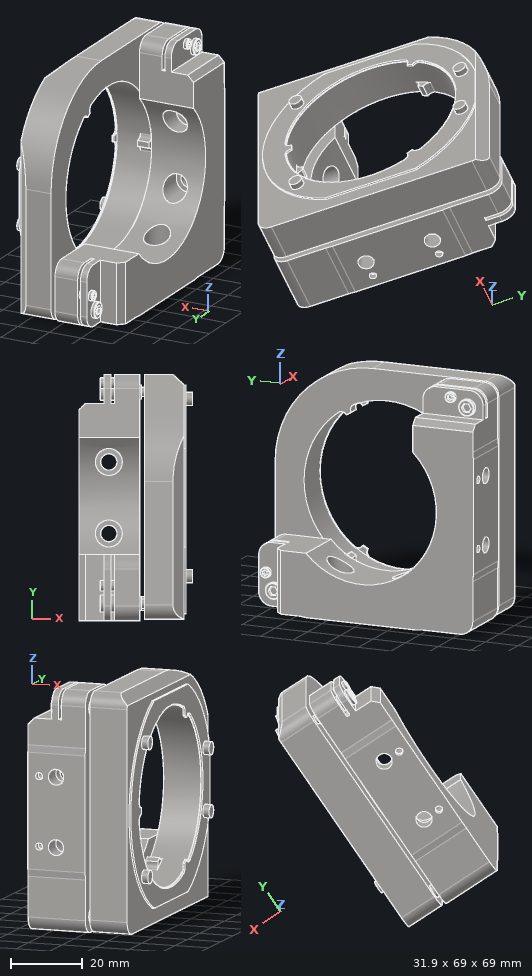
import cadquery as cq
import math


mount_size = 69.0
axis_pos = mount_size / 2
corner_radius = 4.0

base_thickness = 17.1
base_bore_diameter = 46.2
arm_inner_edge = 18.6
pad_height = 0.2
pad_half_length = 16.6
pad_ramp_length = 2.1

ear_start = 60.9
ear_front = 7.05
ear_slot_start = 9.05
ear_slot_width = 0.9
arm_chamfer = 1.85

hole_spacing = 20.0
hole_x = 8.4
hole_diameter = 4.5
counterbore_diameter = 7.5
counterbore_floor = 6.0
dowel_x = 3.4
dowel_diameter = 2.0
dowel_depth = 2.1

adjuster_inset = 4.9
adjuster_diameter = 4.75
adjuster_socket = 2.8
screw_head_chamfer = 0.2
clamp_side = 9.95
clamp_height = 66.6
clamp_screw_diameter = 3.0
clamp_socket = 1.65
adjuster_turn = 0
clamp_turn = 30
socket_sides = 6
screw_head_height = 1.1
socket_depth = 1.0
collar_diameter = 4.0
collar_length = 0.5
tip_diameter = 2.6

plate_start = 18.35
plate_end = 29.45
plate_inset = 0.45
plate_bore_diameter = 51.2
plate_round_radius = 29.95
bevel_depth_x = 3.1
bevel_depth_side = 2.9

retainer_end = 30.0
retainer_bore_diameter = 51.75
retainer_radius = 32.6
retainer_half_height = 29.5
retainer_flat = 31.6
pin_end = 31.9
pin_diameter = 3.8
pin_circle_radius = 29.05
pin_angles = (18.0, 139.0, -139.0, -18.0)

tab_angles = (60.0, 180.0, 300.0)
tab_tip_radius = 23.8
tab_half_width = 0.9
tab_foot_half_width = 3.05
tab_length = 3.6
tab_root_depth = 0.7


def block(x_range, y_range, z_range):
    """Box spanning the given ranges."""
    size = [high - low for low, high in (x_range, y_range, z_range)]
    corner = (x_range[0], y_range[0], z_range[0])
    return cq.Workplane("XY").box(*size, centered=False).translate(corner)


def rod(y, z, x_start, x_end, diameter):
    """Cylinder along X."""
    return cq.Workplane("YZ", origin=(x_start, y, z)).circle(diameter / 2).extrude(x_end - x_start)


def swap_yz(body):
    """Mirror image with Y and Z exchanged."""
    return body.mirror((0, 1, -1))


def on_both_sides(body):
    return body.union(swap_yz(body))


def make_arm():
    """Upright arm with a rounded end."""
    arm = block((0, base_thickness), (pad_height, arm_inner_edge), (pad_height, mount_size))
    return arm.edges("|X and >Z").fillet(corner_radius)


def make_ear_cut():
    """Step, chamfer and slot that leave a slotted ear at the top of the upright arm."""
    across = (0, arm_inner_edge)
    step = (
        cq.Workplane("XZ")
        .moveTo(0, ear_start - arm_chamfer)
        .lineTo(arm_chamfer, ear_start)
        .lineTo(ear_front, ear_start)
        .lineTo(ear_front, mount_size)
        .lineTo(0, mount_size)
        .close()
        .extrude(-arm_inner_edge)
    )
    slot_range = (ear_slot_start, ear_slot_start + ear_slot_width)
    return step.union(block(slot_range, across, (ear_start, mount_size)))


def make_pad():
    """Raised mounting pad with ramped ends on the -Y side."""
    ramp_end = pad_half_length + pad_ramp_length
    return (
        cq.Workplane("YZ")
        .moveTo(pad_height, axis_pos - ramp_end)
        .lineTo(0, axis_pos - pad_half_length)
        .lineTo(0, axis_pos + pad_half_length)
        .lineTo(pad_height, axis_pos + ramp_end)
        .lineTo(2 * pad_height, axis_pos + ramp_end)
        .lineTo(2 * pad_height, axis_pos - ramp_end)
        .close()
        .extrude(base_thickness)
    )


def make_pad_holes():
    """Counterbored screw holes and pointed dowel holes entering from the -Y pad."""
    holes = cq.Workplane("XY")
    for side in (-1, 1):
        z = axis_pos + side * hole_spacing / 2
        face = cq.Workplane("XZ", origin=(0, 0, z))
        through = face.center(hole_x, 0).circle(hole_diameter / 2).extrude(-axis_pos)
        counterbore = (
            cq.Workplane("XZ", origin=(hole_x, counterbore_floor, z))
            .circle(counterbore_diameter / 2)
            .extrude(-(axis_pos - counterbore_floor))
        )
        dowel_radius = dowel_diameter / 2
        dowel = (
            cq.Workplane("XY", origin=(dowel_x, 0, z))
            .lineTo(dowel_radius, 0)
            .lineTo(dowel_radius, dowel_depth)
            .lineTo(0, dowel_depth + dowel_radius)
            .close()
            .revolve(360, (0, 0, 0), (0, 1, 0))
        )
        holes = holes.union(through).union(counterbore).union(dowel)
    return holes


def make_base():
    base = on_both_sides(make_arm())
    base = base.edges("|X and <Y and <Z").fillet(corner_radius)
    base = base.union(on_both_sides(make_pad()))
    base = base.cut(rod(axis_pos, axis_pos, 0, base_thickness, base_bore_diameter))
    base = base.cut(on_both_sides(make_ear_cut()))
    return base.cut(on_both_sides(make_pad_holes()))


def make_socket_screw(y, z, x_end, diameter, socket, socket_turn):
    """Screw along X whose head, with a hex socket, stands out of the ear."""
    head = ear_front - screw_head_height
    screw = rod(y, z, head, x_end, diameter)
    screw = screw.faces("<X").chamfer(screw_head_chamfer)
    recess = cq.Workplane("YZ").polygon(socket_sides, socket).extrude(socket_depth)
    recess = recess.rotate((0, 0, 0), (1, 0, 0), socket_turn).translate((head, y, z))
    return screw.cut(recess)


def make_adjuster(y, z):
    """Adjuster with a collar and a thin tip that bears on the plate."""
    adjuster = make_socket_screw(y, z, base_thickness, adjuster_diameter, adjuster_socket, adjuster_turn)
    collar = rod(y, z, base_thickness, base_thickness + collar_length, collar_diameter)
    tip = rod(y, z, base_thickness, plate_start, tip_diameter)
    return adjuster.union(collar).union(tip)


def make_clamp_screw(y, z):
    """Screw across the ear slot that clamps the adjuster."""
    x_end = ear_slot_start + 2 * ear_slot_width
    return make_socket_screw(y, z, x_end, clamp_screw_diameter, clamp_socket, clamp_turn)


def make_ear_screws():
    near = adjuster_inset
    far = mount_size - adjuster_inset
    screws = make_adjuster(near, far).union(make_adjuster(far, near))
    screws = screws.union(make_clamp_screw(clamp_side, clamp_height))
    return screws.union(make_clamp_screw(clamp_height, clamp_side))


def make_bevel_cut():
    """Wedge removed along the rear +Z edge of the plate."""
    return (
        cq.Workplane("XZ")
        .moveTo(plate_end - bevel_depth_x, mount_size)
        .lineTo(plate_end, mount_size - bevel_depth_side)
        .lineTo(plate_end, mount_size)
        .close()
        .extrude(-mount_size)
    )


def make_plate():
    sides = (plate_inset, mount_size)
    plate = block((plate_start, plate_end), sides, sides)
    plate = plate.edges("|X and >Y and >Z").fillet(plate_round_radius)
    plate = plate.edges("|X and (<Y or <Z)").fillet(corner_radius)
    return plate.cut(on_both_sides(make_bevel_cut()))


def make_retainer():
    """Thin disc behind the plate with flats at top, bottom and +Y."""
    disc = rod(axis_pos, axis_pos, plate_end, retainer_end, 2 * retainer_radius)
    keep = block(
        (plate_end, retainer_end),
        (0, axis_pos + retainer_flat),
        (axis_pos - retainer_half_height, axis_pos + retainer_half_height),
    )
    return disc.intersect(keep)


def make_pins():
    pins = cq.Workplane("XY")
    for angle in pin_angles:
        y = axis_pos + pin_circle_radius * math.cos(math.radians(angle))
        z = axis_pos + pin_circle_radius * math.sin(math.radians(angle))
        pins = pins.union(rod(y, z, retainer_end, pin_end, pin_diameter))
    return pins


def make_tabs(x_start, length, bore_diameter):
    """Tabs with concave flanks that reach inward from a bore."""
    foot = tab_foot_half_width
    foot_radial = math.sqrt((bore_diameter / 2) ** 2 - foot**2)
    flank_width = foot - tab_half_width
    flank_height = foot_radial - tab_tip_radius
    flank_radius = (flank_width**2 + flank_height**2) / (2 * flank_width)
    root = bore_diameter / 2 + tab_root_depth
    profile = (
        cq.Workplane("YZ", origin=(x_start, axis_pos, axis_pos))
        .moveTo(tab_tip_radius, -tab_half_width)
        .lineTo(tab_tip_radius, tab_half_width)
        .radiusArc((foot_radial, foot), -flank_radius)
        .lineTo(root, foot)
        .lineTo(root, -foot)
        .lineTo(foot_radial, -foot)
        .radiusArc((tab_tip_radius, -tab_half_width), -flank_radius)
        .close()
        .extrude(length)
    )
    axis_start = (0, axis_pos, axis_pos)
    axis_end = (1, axis_pos, axis_pos)
    tabs = cq.Workplane("XY")
    for angle in tab_angles:
        tabs = tabs.union(profile.rotate(axis_start, axis_end, angle))
    return tabs


def make_ring():
    plate = make_plate().cut(rod(axis_pos, axis_pos, plate_start, plate_end, plate_bore_diameter))
    plate = plate.union(make_tabs(plate_start, tab_length, plate_bore_diameter))
    retainer_thickness = retainer_end - plate_end
    retainer = make_retainer()
    retainer = retainer.cut(rod(axis_pos, axis_pos, plate_end, retainer_end, retainer_bore_diameter))
    retainer = retainer.union(make_tabs(plate_end, retainer_thickness, retainer_bore_diameter))
    return plate.union(retainer).union(make_pins())


pivot = rod(adjuster_inset, adjuster_inset, base_thickness, plate_start, collar_diameter)

result = make_base().union(make_ear_screws()).union(pivot).union(make_ring())